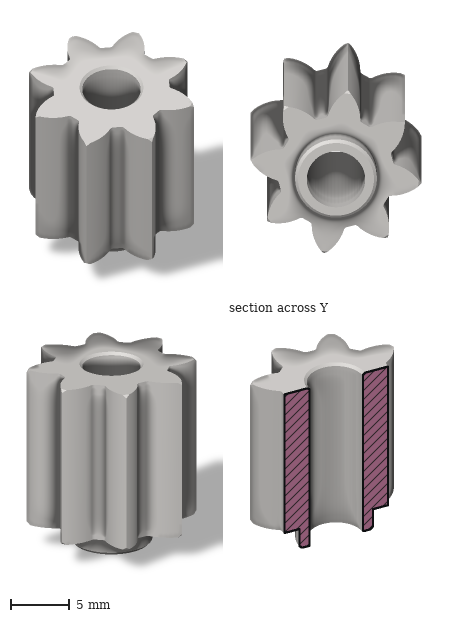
import cadquery as cq
import math

TOOTH_COUNT = 8
TOOTH_PITCH = 360 / TOOTH_COUNT
BODY_WIDTH = 13.62
TIP_RADIUS = BODY_WIDTH / 2 / math.cos(math.radians(TOOTH_PITCH / 2))
ROOT_APOTHEM = 4.96
FLANK_RADIUS = 3.83
FLANK_CENTRE_OFFSET = 2.385
ROOT_FILLET = 0.3
TIP_CHAMFER = 0.25

TOTAL_HEIGHT = 16.29
HUB_HEIGHT = 2.0
BODY_HEIGHT = TOTAL_HEIGHT - HUB_HEIGHT
HUB_DIAMETER = 7.0
HUB_CHAMFER = 0.25

BORE_DIAMETER = 5.0
BORE_CHAMFER = 0.23

CUT_MARGIN = 1.0


def gap_profile():
    """Outline of one tooth gap, centred on +X and open outwards between two pointed tips."""
    half_pitch = math.radians(TOOTH_PITCH / 2)

    centre_along = TIP_RADIUS - math.sqrt(FLANK_RADIUS**2 - FLANK_CENTRE_OFFSET**2)
    centre_radius = math.hypot(centre_along, FLANK_CENTRE_OFFSET)
    centre_angle = half_pitch + math.atan2(FLANK_CENTRE_OFFSET, centre_along)
    centre_x = centre_radius * math.cos(centre_angle)
    centre_y = centre_radius * math.sin(centre_angle)

    tip_x = BODY_WIDTH / 2
    tip_y = TIP_RADIUS * math.sin(half_pitch)
    root_y = centre_y - math.sqrt(FLANK_RADIUS**2 - (ROOT_APOTHEM - centre_x) ** 2)

    root_angle = math.atan2(root_y - centre_y, ROOT_APOTHEM - centre_x)
    tip_angle = math.atan2(tip_y - centre_y, tip_x - centre_x)
    mid_angle = (root_angle + tip_angle) / 2
    mid_x = centre_x + FLANK_RADIUS * math.cos(mid_angle)
    mid_y = centre_y + FLANK_RADIUS * math.sin(mid_angle)

    outer_x = tip_x + CUT_MARGIN
    return (
        cq.Workplane("XY")
        .moveTo(ROOT_APOTHEM, -root_y)
        .lineTo(ROOT_APOTHEM, root_y)
        .threePointArc((mid_x, mid_y), (tip_x, tip_y))
        .lineTo(outer_x, tip_y)
        .lineTo(outer_x, -tip_y)
        .lineTo(tip_x, -tip_y)
        .threePointArc((mid_x, -mid_y), (ROOT_APOTHEM, -root_y))
        .close()
    )


def tooth_gap():
    """Solid cutter for one tooth gap with rounded root corners."""
    cutter = gap_profile().extrude(BODY_HEIGHT)
    return cutter.faces("<X").edges("|Z").fillet(ROOT_FILLET)


def toothed_body():
    """Blank with both rims chamfered, then cut into pointed teeth."""
    body = cq.Workplane("XY").circle(TIP_RADIUS).extrude(BODY_HEIGHT)
    body = body.edges("%CIRCLE").chamfer(TIP_CHAMFER)
    gap = tooth_gap()
    for index in range(TOOTH_COUNT):
        body = body.cut(gap.rotate((0, 0, 0), (0, 0, 1), index * TOOTH_PITCH))
    return body


def hub():
    """Round hub under the teeth with a chamfered lower rim."""
    cylinder = cq.Workplane("XY").circle(HUB_DIAMETER / 2).extrude(-HUB_HEIGHT)
    return cylinder.faces("<Z").edges().chamfer(HUB_CHAMFER)


def bore():
    """Through bore with a chamfered mouth at the top."""
    hole = (
        cq.Workplane("XY")
        .workplane(offset=-HUB_HEIGHT)
        .circle(BORE_DIAMETER / 2)
        .extrude(TOTAL_HEIGHT)
    )
    mouth = cq.Solid.makeCone(
        BORE_DIAMETER / 2,
        BORE_DIAMETER / 2 + BORE_CHAMFER,
        BORE_CHAMFER,
        pnt=cq.Vector(0, 0, BODY_HEIGHT - BORE_CHAMFER),
    )
    return hole.union(cq.Workplane(obj=mouth))


result = toothed_body().union(hub()).cut(bore())